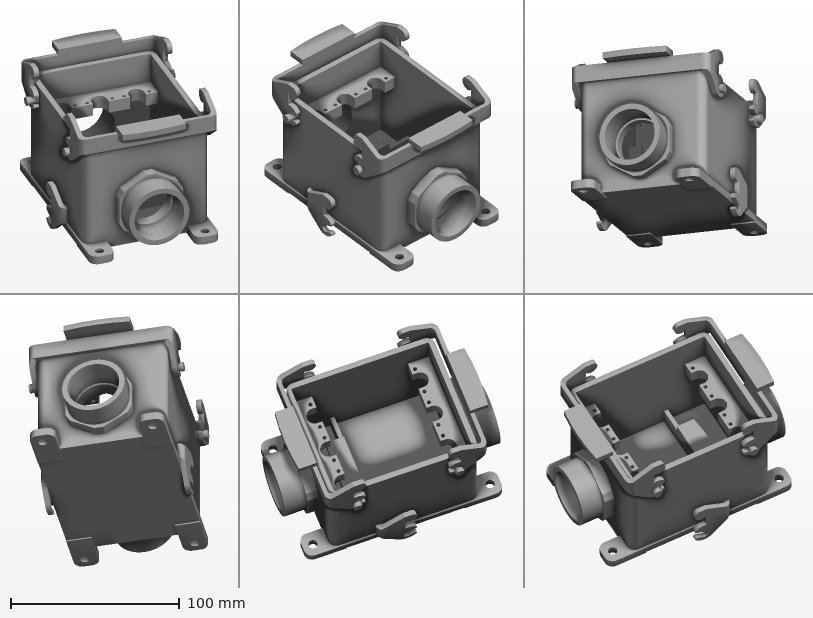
import cadquery as cq
import math

BOX_HALF_X = 47.0
BOX_HALF_Y = 39.6
BOX_BOTTOM = 0.8
BOX_TOP = 66.9
WALL = 3.4
OUTER_CORNER_R = 5.3
INNER_CORNER_R = 0.7

RIM_TOP = 72.1

FLANGE_TOP = 5.2
FLANGE_HALF_Y = 40.7
FOOT_HALF_X = 62.5
FOOT_WIDTH = 15.3
FOOT_CORNER_R = 5.0
FOOT_PAD_INNER_X = 37.4
FOOT_HOLE_D = 5.5
FOOT_HOLE_X = 56.1
FOOT_HOLE_Y = 33.5

LEDGE_TOP = 53.0
LEDGE_THICKNESS = 7.9
LEDGE_EDGE_X = 30.5
SCALLOP_WIDTH = 10.0
SCALLOP_END_X = 38.5
SCALLOP_PITCH = 23.5
SCREW_HOLE_D = 2.5
SCREW_HOLE_X = 33.0
SCREW_HOLE_OFFSET = 7.9

PEG_X = 32.4
PEG_Z = 62.2
PEG_BOSS_D = 6.5
PEG_NECK_D = 4.9
PEG_HEAD_D = 5.5
PEG_TIP_TO_TIP = 93.8
PEG_END_Y = PEG_TIP_TO_TIP / 2
PEG_HEAD_LENGTH = 1.9

GLAND_Z = 28.1
GLAND_SEAT_D = 39.0
GLAND_SEAT_X = 48.2
HEX_END_X = 54.5
GLAND_END_X = 68.2
HEX_ACROSS_FLATS = 40.1
HEX_ACROSS_CORNERS = 43.3
TUBE_D = 38.0
BORE_MOUTH_D = 31.4
BORE_D = 30.5
ENTRY_D = 28.0
BORE_STEP_X = 50.9

ARM_INNER_Y = FLANGE_HALF_Y
ARM_THICKNESS = 3.1
ARM_OUTER_Y = ARM_INNER_Y + ARM_THICKNESS
STRIP_OUTER_X = 18.8
STRIP_INNER_X = 16.2
STRIP_BOTTOM = 7.2
STRIP_TOP = 17.5
BEND_OUTER_R = 4.2
BEND_INNER_R = 2.7
HOOK_TOP = 24.0
HOOK_CENTER_X = -1.9
HOOK_CENTER_Z = 20.2
HOOK_R = 4.2
HOOK_SLOPE_X = 1.8
THROAT_X = 1.5
JAW_TIP_X = -5.9
JAW_OPENING_TILT = 20
JAW_LIP_ANGLE = 222
HANDLE_SIDE_X = 27.6
HANDLE_TIP_X = 29.0
HANDLE_HALF_Y = 20.0
HANDLE_THICKNESS = 3.8

LOW_LATCH_Z = FLANGE_TOP - STRIP_BOTTOM


def block(half_x, half_y, bottom, top):
    """Block centred on the Z axis."""
    height = top - bottom
    return cq.Workplane("XY").box(2 * half_x, 2 * half_y, height).translate((0, 0, bottom + height / 2))


def span(x_range, y_range, z_range):
    """Block between two corners."""
    sizes = [high - low for low, high in (x_range, y_range, z_range)]
    return cq.Workplane("XY").box(*sizes, centered=False).translate((x_range[0], y_range[0], z_range[0]))


def x_disc(diameter, start, end):
    """Disc on the gland axis."""
    return cq.Workplane("YZ", origin=(start, 0, GLAND_Z)).circle(diameter / 2).extrude(end - start)


def both_ends(shape):
    """A shape at +X together with its mirror image at -X."""
    return shape.union(shape.mirror("YZ"))



def box_walls(bottom, top):
    """Rounded block with the outline of the box."""
    return block(BOX_HALF_X, BOX_HALF_Y, bottom, top).edges("|Z").fillet(OUTER_CORNER_R)


def box_cavity(top):
    cavity = block(BOX_HALF_X - WALL, BOX_HALF_Y - WALL, FLANGE_TOP, top)
    return cavity.edges("|Z").fillet(INNER_CORNER_R)


def base_flange():
    flange = block(BOX_HALF_X, FLANGE_HALF_Y, BOX_BOTTOM, FLANGE_TOP)
    foot_x = (FOOT_PAD_INNER_X, FOOT_HALF_X)
    foot_y = (FLANGE_HALF_Y - FOOT_WIDTH, FLANGE_HALF_Y)
    foot = span(foot_x, foot_y, (0, FLANGE_TOP)).edges("|Z and >X").fillet(FOOT_CORNER_R)
    hole = cq.Workplane("XY").center(FOOT_HOLE_X, FOOT_HOLE_Y).circle(FOOT_HOLE_D / 2).extrude(FLANGE_TOP)
    foot_pair = both_ends(foot.cut(hole))
    return flange.union(foot_pair).union(foot_pair.mirror("XZ"))


def ledge():
    bottom = LEDGE_TOP - LEDGE_THICKNESS
    half_y = BOX_HALF_Y - WALL
    scallop_r = SCALLOP_WIDTH / 2
    scallop_x = SCALLOP_END_X - scallop_r
    scallop_rows = (-SCALLOP_PITCH, 0, SCALLOP_PITCH)
    screw_rows = [y + side * SCREW_HOLE_OFFSET for y in scallop_rows for side in (-1, 1)]

    shelf = span((LEDGE_EDGE_X, BOX_HALF_X - WALL), (-half_y, half_y), (bottom, LEDGE_TOP))
    floor = cq.Workplane("XY", origin=(0, 0, bottom))
    slot_length = scallop_x - LEDGE_EDGE_X + 3 * scallop_r
    scallops = (
        floor.pushPoints([(SCALLOP_END_X - slot_length / 2, y) for y in scallop_rows])
        .slot2D(slot_length, SCALLOP_WIDTH)
        .extrude(LEDGE_THICKNESS)
    )
    screw_holes = (
        floor.pushPoints([(SCREW_HOLE_X, y) for y in screw_rows])
        .circle(SCREW_HOLE_D / 2)
        .extrude(LEDGE_THICKNESS)
    )
    return shelf.cut(scallops).cut(screw_holes)


def peg(x):
    def disc(diameter, start_y, end_y):
        return cq.Workplane("XZ", origin=(x, -start_y, PEG_Z)).circle(diameter / 2).extrude(end_y - start_y)

    head_y = PEG_END_Y - PEG_HEAD_LENGTH
    boss = disc(PEG_BOSS_D, BOX_HALF_Y, ARM_INNER_Y)
    neck = disc(PEG_NECK_D, ARM_INNER_Y, head_y)
    head = disc(PEG_HEAD_D, head_y, PEG_END_Y)
    return boss.union(neck).union(head)


def gland():
    def hexagon(across_flats):
        across_points = across_flats / math.cos(math.pi / 6)
        plane = cq.Workplane("YZ", origin=(GLAND_SEAT_X, 0, GLAND_Z))
        return plane.polygon(6, across_points).extrude(HEX_END_X - GLAND_SEAT_X)

    axis_start = (0, 0, GLAND_Z)
    axis_end = (1, 0, GLAND_Z)
    nut = hexagon(HEX_ACROSS_FLATS).rotate(axis_start, axis_end, 30).intersect(hexagon(HEX_ACROSS_CORNERS))
    seat = x_disc(GLAND_SEAT_D, BOX_HALF_X, GLAND_SEAT_X)
    tube = x_disc(TUBE_D, HEX_END_X, GLAND_END_X)
    return seat.union(nut).union(tube)


def gland_bore():
    """Entry hole through the wall, then a slightly conical bore that widens to the mouth."""
    cone = (
        cq.Workplane("YZ", origin=(BORE_STEP_X, 0, GLAND_Z))
        .circle(BORE_D / 2)
        .workplane(offset=GLAND_END_X - BORE_STEP_X)
        .circle(BORE_MOUTH_D / 2)
        .loft()
    )
    entry = x_disc(ENTRY_D, BOX_HALF_X - WALL, BORE_STEP_X)
    return entry.union(cone)


def make_housing():
    housing = box_walls(BOX_BOTTOM, BOX_TOP).union(base_flange()).cut(box_cavity(BOX_TOP))
    housing = housing.union(both_ends(ledge()))
    housing = housing.union(both_ends(gland())).cut(both_ends(gland_bore()))
    for x in (-PEG_X, PEG_X):
        front_peg = peg(x)
        housing = housing.union(front_peg).union(front_peg.mirror("XZ"))
    return housing



def make_rim():
    return box_walls(BOX_TOP, RIM_TOP).cut(box_cavity(RIM_TOP))



def latch_side_profile():
    """Side outline of the arm: hook on top, throat, and the jaw that snaps onto the peg neck."""
    hook_flat_x = HOOK_CENTER_X - math.sqrt(HOOK_R**2 - (HOOK_TOP - HOOK_CENTER_Z) ** 2)
    throat_top = HOOK_CENTER_Z - math.sqrt(HOOK_R**2 - (THROAT_X - HOOK_CENTER_X) ** 2)
    throat_bottom = 8.9

    jaw_r = PEG_NECK_D / 2
    jaw_top_angle = math.radians(90 - JAW_OPENING_TILT)
    jaw_top = (jaw_r * math.cos(jaw_top_angle), jaw_r * math.sin(jaw_top_angle))
    jaw_tip_z = jaw_top[1] + (jaw_top[0] - JAW_TIP_X) * math.tan(math.radians(JAW_OPENING_TILT))
    lip_angle = math.radians(JAW_LIP_ANGLE)
    jaw_lip = (jaw_r * math.cos(lip_angle), jaw_r * math.sin(lip_angle))

    return (
        cq.Workplane("XZ")
        .moveTo(HOOK_SLOPE_X, HOOK_TOP)
        .lineTo(hook_flat_x, HOOK_TOP)
        .threePointArc((HOOK_CENTER_X, HOOK_CENTER_Z - HOOK_R), (THROAT_X, throat_top))
        .lineTo(THROAT_X, throat_bottom)
        .lineTo(-0.8, throat_bottom)
        .threePointArc((-4.2, 7.8), (JAW_TIP_X, 6.1))
        .lineTo(JAW_TIP_X, jaw_tip_z)
        .lineTo(*jaw_top)
        .threePointArc((jaw_r, 0), jaw_lip)
        .lineTo(-4.4, -0.7)
        .threePointArc((-5.7, -1.2), (-5.7, -2.5))
        .lineTo(-3.0, -4.4)
        .threePointArc((0.4, -4.9), (4.2, -4.0))
        .lineTo(18.3, STRIP_BOTTOM)
        .lineTo(STRIP_OUTER_X, STRIP_BOTTOM)
        .lineTo(STRIP_OUTER_X, STRIP_TOP)
        .lineTo(STRIP_INNER_X, STRIP_TOP)
        .close()
        .extrude(ARM_OUTER_Y, both=True)
    )


def bent_sheet():
    """U-shaped sheet seen along Z: two arms joined by the strip through rounded bends."""
    reach = 2 * STRIP_OUTER_X
    z_range = (-reach, reach)
    outer = span((-reach, STRIP_OUTER_X), (-ARM_OUTER_Y, ARM_OUTER_Y), z_range)
    inner = span((-reach, STRIP_INNER_X), (-ARM_INNER_Y, ARM_INNER_Y), z_range)
    outer = outer.edges("|Z and >X").fillet(BEND_OUTER_R)
    inner = inner.edges("|Z and >X").fillet(BEND_INNER_R)
    below_strip = block(reach, ARM_OUTER_Y - BEND_OUTER_R, -reach, STRIP_BOTTOM)
    return outer.cut(inner).cut(below_strip)


def latch_handle():
    return (
        cq.Workplane("XY", origin=(0, 0, STRIP_TOP))
        .moveTo(STRIP_INNER_X, -HANDLE_HALF_Y)
        .lineTo(HANDLE_SIDE_X, -HANDLE_HALF_Y)
        .threePointArc((HANDLE_TIP_X, 0), (HANDLE_SIDE_X, HANDLE_HALF_Y))
        .lineTo(STRIP_INNER_X, HANDLE_HALF_Y)
        .close()
        .extrude(HANDLE_THICKNESS)
    )


def make_latch():
    return latch_side_profile().intersect(bent_sheet()).union(latch_handle())



latch = make_latch()
right_latch = latch.translate((PEG_X, 0, PEG_Z))
left_latch = right_latch.mirror("YZ")
low_latch = latch.translate((0, 0, LOW_LATCH_Z))
latches = [right_latch, left_latch, low_latch]

housing = make_housing().cut(low_latch)
rim = make_rim()

result = cq.Compound.makeCompound([housing.val(), rim.val(), *[body.val() for body in latches]])